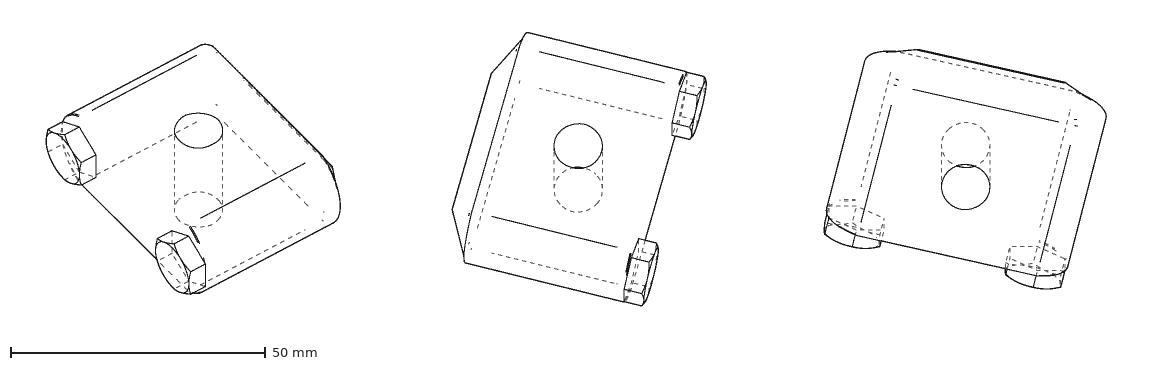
import cadquery as cq
import math

width = 48.95
block_height = 19.05
block_front = -15.7
block_back = 16.85
end_radius = 10.5
corner_radius = 1.3
front_round = 0.2
back_round = 0.3

wedge_height = 4.85
wedge_end_x = 14.7
wedge_tip_radius = 0.3
wedge_base_radius = block_height / 2 - back_round

shoulder_height = 0.6
shoulder_inset = 1.7

overall_height = 22.85
pad_half_width = 18.1
pad_half_length = 12.7
hole_radius = 4.75
peak_offset = 5.05
pad_embed = 0.5

bolt_x = 18.3
head_across_flats = 11.15
head_height = 4.0
head_chamfer = 0.45

half_height = block_height / 2
arc_center_x = width / 2 - end_radius
pad_top = overall_height / 2


def draw_outline(y, inset=0.0):
    """Outline with flat top and bottom and bulged ends, moved inward by the inset."""
    outline_half_height = half_height - inset
    outline_radius = end_radius - inset
    corner_x = arc_center_x + math.sqrt(outline_radius**2 - outline_half_height**2)
    end_x = arc_center_x + outline_radius
    return (
        cq.Workplane("XZ", origin=(0, y, 0))
        .moveTo(-corner_x, outline_half_height)
        .lineTo(corner_x, outline_half_height)
        .threePointArc((end_x, 0), (corner_x, -outline_half_height))
        .lineTo(-corner_x, -outline_half_height)
        .threePointArc((-end_x, 0), (-corner_x, outline_half_height))
        .close()
    )


def make_block():
    """Extrude the bulged outline along Y and round its edges."""
    block = draw_outline(block_back).extrude(block_back - block_front)
    block = block.edges("|Y").fillet(corner_radius)
    block = block.faces("<Y").edges().fillet(front_round)
    return block.faces(">Y").edges().fillet(back_round)


def make_shoulder():
    """Low frustum on the back face, sloping from its outline toward the wedge."""
    base = draw_outline(block_back, back_round).val()
    top = draw_outline(block_back + shoulder_height, back_round + shoulder_inset).val()
    return cq.Workplane(cq.Solid.makeLoft([base, top], True))


def make_wedge():
    """Roof with two sloping planes between half-cone ends."""
    def slot(radius, y):
        return (
            cq.Workplane("XZ", origin=(0, y, 0))
            .slot2D(2 * (wedge_end_x + radius), 2 * radius)
            .wires()
            .val()
        )

    base = slot(wedge_base_radius, block_back)
    tip = slot(wedge_tip_radius, block_back + wedge_height)
    return cq.Workplane(cq.Solid.makeLoft([base, tip], True))


def make_pad():
    """Raised pad: a rectangle at block level rising to four peaks around the hole."""
    def line(start, end):
        return cq.Edge.makeLine(cq.Vector(*start), cq.Vector(*end))

    def polygon(*points):
        return cq.Face.makeFromWires(cq.Wire.makePolygon([cq.Vector(*p) for p in points], close=True))

    floor = half_height - pad_embed
    peaks_x = [(side * peak_offset, 0, pad_top) for side in (-1, 1)]
    peaks_y = [(0, side * peak_offset, pad_top) for side in (-1, 1)]
    faces = [polygon(peaks_x[0], peaks_y[0], peaks_x[1], peaks_y[1])]

    for side_y, peak_y in zip((-1, 1), peaks_y):
        corners = [(side * pad_half_width, side_y * pad_half_length, half_height) for side in (-1, 1)]
        faces.append(polygon(corners[0], corners[1], peak_y))
        for side_x, corner, peak_x in zip((-1, 1), corners, peaks_x):
            edge_peak = (side_x * pad_half_width, side_y * peak_offset, half_height)
            edge_mid = (side_x * pad_half_width, 0, half_height)
            faces.append(polygon(corner, edge_peak, peak_y))
            faces.append(cq.Face.makeRuledSurface(line(edge_peak, edge_mid), line(peak_y, peak_x)))

    for side_x in (-1, 1):
        x = side_x * pad_half_width
        stations = (-pad_half_length, -peak_offset, 0, peak_offset, pad_half_length)
        top_edge = [(x, y, half_height) for y in stations]
        faces.append(polygon(*top_edge, (x, pad_half_length, floor), (x, -pad_half_length, floor)))
    for side_y in (-1, 1):
        y = side_y * pad_half_length
        top_edge = [(side * pad_half_width, y, half_height) for side in (-1, 1)]
        faces.append(polygon(*top_edge, (pad_half_width, y, floor), (-pad_half_width, y, floor)))
    faces.append(polygon(*[(side_x * pad_half_width, side_y * pad_half_length, floor)
                           for side_x, side_y in ((-1, -1), (1, -1), (1, 1), (-1, 1))]))
    return cq.Workplane(cq.Solid.makeSolid(cq.Shell.makeShell(faces)).fix())


def make_bolt_head(x):
    """Hexagonal head with two corners pointing up and down, its outer corners chamfered."""
    across_corners = head_across_flats / math.cos(math.pi / 6)
    plane = cq.Workplane("XZ", origin=(x, block_front, 0))
    head = plane.transformed(rotate=(0, 0, 90)).polygon(6, across_corners).extrude(head_height)
    corner_overhang = (across_corners - head_across_flats) / 2
    envelope = (
        plane.circle(across_corners / 2)
        .extrude(head_height)
        .faces("<Y")
        .chamfer(head_chamfer, corner_overhang)
    )
    return head.intersect(envelope)


result = make_block().union(make_shoulder()).union(make_wedge())
pad = make_pad()
result = result.union(pad).union(pad.mirror("XY"))
for x in (-bolt_x, bolt_x):
    result = result.union(make_bolt_head(x))
hole = cq.Workplane("XY").circle(hole_radius).extrude(overall_height, both=True)
result = result.cut(hole)